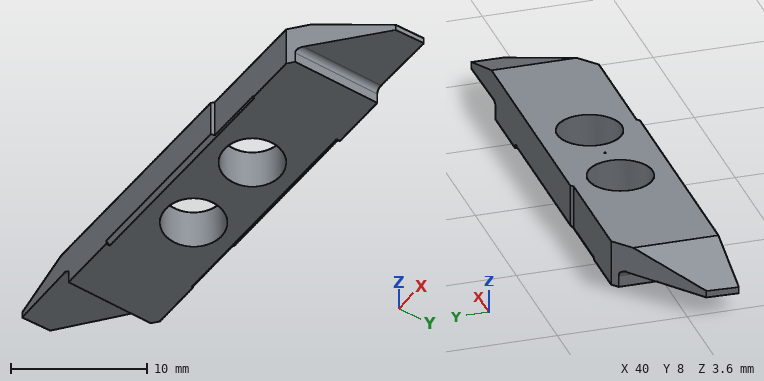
import cadquery as cq

length = 40.0
width = 8.0
height = 3.6
half_length = length / 2
half_width = width / 2

side_step = 0.2
step_x = 4.15
step_run = 0.2
flank_x = 13.5
tip_width = 2.5
tip_setback = 0.1

ridge_x = 15.0
tip_top_z = 1.8
tip_bottom_z = 1.3
shoulder_x = 14.05
underside_z = 1.45
shoulder_fillet = 0.5

chamfer_half_length = 9.25
chamfer_size = 0.3

hole_diameter = 4.95
hole_x = 3.75
center_mark_diameter = 0.1
center_mark_depth = 0.1


def half_turn(points):
    """Return the points turned 180 degrees about Z."""
    return [(-x, -y) for x, y in points]


def plan_body():
    """Extrude the plan outline, made of one half and its half-turned copy."""
    half_outline = [
        (-half_length, -half_width),
        (step_x, -half_width),
        (step_x + step_run, -half_width + side_step),
        (flank_x, -half_width + side_step),
        (half_length - tip_setback, half_width - tip_width),
    ]
    outline = half_outline + half_turn(half_outline)
    return cq.Workplane("XY").polyline(outline).close().extrude(height)


def side_profile():
    """Extrude the side profile with tapered tips across the full width."""
    left_half = [
        (-shoulder_x, 0),
        (-shoulder_x, underside_z),
        (-half_length, tip_bottom_z),
        (-half_length, tip_top_z),
        (-ridge_x, height),
    ]
    right_half = [(-x, z) for x, z in reversed(left_half)]
    profile = cq.Workplane("XZ").polyline(left_half + right_half).close()
    solid = profile.extrude(half_width, both=True)
    for x in (-shoulder_x, shoulder_x):
        corner = cq.selectors.NearestToPointSelector((x, 0, underside_z))
        solid = solid.edges(corner).fillet(shoulder_fillet)
    return solid


def bottom_chamfer():
    """Wedge removed from the middle of the -Y bottom edge."""
    section = [
        (-half_width, 0),
        (-half_width + chamfer_size, 0),
        (-half_width, chamfer_size),
    ]
    wedge = cq.Workplane("YZ").polyline(section).close()
    return wedge.extrude(chamfer_half_length, both=True)


result = plan_body().intersect(side_profile())

for turn in (0, 180):
    result = result.cut(bottom_chamfer().rotate((0, 0, 0), (0, 0, 1), turn))

top = cq.Workplane("XY", origin=(0, 0, height))
through_holes = top.pushPoints([(-hole_x, 0), (hole_x, 0)]).circle(hole_diameter / 2).extrude(-height)
center_mark = top.circle(center_mark_diameter / 2).extrude(-center_mark_depth)
result = result.cut(through_holes).cut(center_mark)